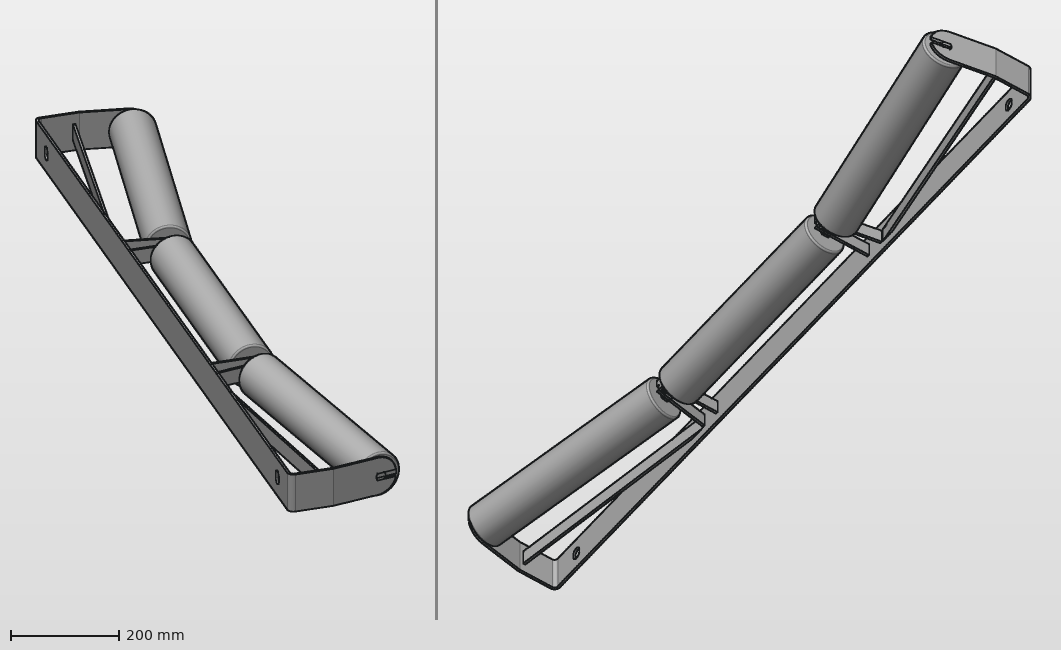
import cadquery as cq
import math

FRAME_LENGTH = 1510.0
STRIP_WIDTH = 77.0
PLATE = 5.0
CORNER_RADIUS = 12.0
BEND_HEIGHT = 86.0
PLATE_TOP = 216.0
TROUGH_ANGLE = 10.0
MOUNT_HOLE_X = 684.0
MOUNT_HOLE_WIDTH = 18.0
MOUNT_HOLE_HEIGHT = 27.0

ROLLER_DIAMETER = 89.0
ROLLER_LENGTH = 465.0
ROLLER_EDGE_FILLET = 3.8
SHAFT_DIAMETER = 20.0
SHAFT_FLAT_WIDTH = 14.0
END_GAP = 5.0
MIDDLE_AXIS_Y = 98.0
SIDE_OUTER_Y = 184.0
INNER_AXIS_Z = -8.0
OUTER_AXIS_Z = -2.0

BRACKET_TOP = 125.0
BRACKET_WIDTH = 30.0

STRUT_WIDTH = 33.0
STRUT_END_Y = 79.0
STRUT_TIP_X = 285.0

LEAN = math.radians(TROUGH_ANGLE)
HALF_FRAME = FRAME_LENGTH / 2
SHAFT_HALF = ROLLER_LENGTH / 2 + END_GAP + PLATE
LEAN_THICKNESS = PLATE / math.cos(LEAN)

SIDE_OUTER_X = HALF_FRAME - (SIDE_OUTER_Y - BEND_HEIGHT) * math.tan(LEAN)
SIDE_CENTRE_X = SIDE_OUTER_X - SHAFT_HALF * math.cos(LEAN)
SIDE_CENTRE_Y = SIDE_OUTER_Y - SHAFT_HALF * math.sin(LEAN)
SIDE_INNER_X = SIDE_CENTRE_X - SHAFT_HALF * math.cos(LEAN)
SIDE_INNER_Y = SIDE_CENTRE_Y - SHAFT_HALF * math.sin(LEAN)
SIDE_CENTRE_Z = (INNER_AXIS_Z + OUTER_AXIS_Z) / 2
SIDE_TILT = math.degrees(math.asin((OUTER_AXIS_Z - INNER_AXIS_Z) / (2 * SHAFT_HALF)))


def place_middle(shape):
    """Move a shape built along X at the origin to the middle roller axis."""
    return shape.translate((0, MIDDLE_AXIS_Y, INNER_AXIS_Z))


def place_right(shape):
    """Move a shape built along X at the origin to the right roller axis."""
    tilted = shape.rotate((0, 0, 0), (0, 1, 0), -SIDE_TILT)
    raised = tilted.rotate((0, 0, 0), (0, 0, 1), TROUGH_ANGLE)
    return raised.translate((SIDE_CENTRE_X, SIDE_CENTRE_Y, SIDE_CENTRE_Z))


def mirrored(shape):
    """The left-hand twin of a right-hand shape."""
    return shape.mirror("YZ")


def shaft():
    """Shaft along X, flattened above and below in Z."""
    rod = (
        cq.Workplane("YZ", origin=(-SHAFT_HALF, 0, 0))
        .circle(SHAFT_DIAMETER / 2)
        .extrude(2 * SHAFT_HALF)
    )
    flats = cq.Workplane("XY").box(2 * SHAFT_HALF, SHAFT_DIAMETER, SHAFT_FLAT_WIDTH)
    return rod.intersect(flats)


def roller():
    """Roller tube and shaft along X."""
    tube = (
        cq.Workplane("YZ", origin=(-ROLLER_LENGTH / 2, 0, 0))
        .circle(ROLLER_DIAMETER / 2)
        .extrude(ROLLER_LENGTH)
        .faces("<X or >X").edges().fillet(ROLLER_EDGE_FILLET)
    )
    return tube.union(shaft())


def shaft_slots():
    """Cutter for the open-topped slots that hold both ends of a shaft."""
    slot_height = ROLLER_DIAMETER
    opening = (
        cq.Workplane("XY")
        .box(2 * SHAFT_HALF, slot_height, SHAFT_FLAT_WIDTH)
        .translate((0, slot_height / 2, 0))
    )
    return shaft().union(opening)


def round_topped_outline():
    """Block along +X, as wide as the strip, its top rounded to a half circle."""
    radius = STRIP_WIDTH / 2
    arc_start = PLATE_TOP - radius
    return (
        cq.Workplane("YZ")
        .moveTo(0, -radius)
        .lineTo(arc_start, -radius)
        .threePointArc((PLATE_TOP, 0), (arc_start, radius))
        .lineTo(0, radius)
        .close()
        .extrude(HALF_FRAME)
    )


def round_corner(shape, x, y, radius):
    """Fillet the edge along Z nearest to (x, y)."""
    nearest = cq.selectors.NearestToPointSelector((x, y, 0))
    return shape.edges("|Z").edges(nearest).fillet(radius)


def build_frame():
    """Base strip with both end plates, mounting holes and shaft slots."""
    top_x = HALF_FRAME - (PLATE_TOP - BEND_HEIGHT) * math.tan(LEAN)
    bend_inside_y = BEND_HEIGHT - PLATE * math.tan(LEAN / 2)
    right_half = (
        cq.Workplane("XY")
        .moveTo(0, 0)
        .lineTo(HALF_FRAME, 0)
        .lineTo(HALF_FRAME, BEND_HEIGHT)
        .lineTo(top_x, PLATE_TOP)
        .lineTo(top_x - PLATE * math.cos(LEAN), PLATE_TOP - PLATE * math.sin(LEAN))
        .lineTo(HALF_FRAME - PLATE, bend_inside_y)
        .lineTo(HALF_FRAME - PLATE, PLATE)
        .lineTo(0, PLATE)
        .close()
        .extrude(STRIP_WIDTH / 2, both=True)
    )
    right_half = round_corner(right_half, HALF_FRAME, 0, CORNER_RADIUS)
    right_half = round_corner(right_half, HALF_FRAME - PLATE, PLATE, CORNER_RADIUS - PLATE)
    hole = (
        cq.Workplane("XZ", origin=(MOUNT_HOLE_X, 0, 0))
        .slot2D(MOUNT_HOLE_HEIGHT, MOUNT_HOLE_WIDTH, 90)
        .extrude(-PLATE)
    )
    right_half = right_half.intersect(round_topped_outline())
    right_half = right_half.cut(hole).cut(place_right(shaft_slots()))
    return right_half.union(mirrored(right_half))


def build_bracket():
    """Right-hand inverted channel: one upright leg, one leg parallel to the end plate."""

    def leaning_x(y):
        """X of the leaning leg's inside face at height y."""
        return SIDE_INNER_X - (y - SIDE_INNER_Y) * math.tan(LEAN)

    inner_top = BRACKET_TOP - PLATE
    bracket = (
        cq.Workplane("XY")
        .moveTo(SHAFT_HALF - PLATE, PLATE)
        .lineTo(SHAFT_HALF - PLATE, BRACKET_TOP)
        .lineTo(leaning_x(BRACKET_TOP) + LEAN_THICKNESS, BRACKET_TOP)
        .lineTo(leaning_x(PLATE) + LEAN_THICKNESS, PLATE)
        .lineTo(leaning_x(PLATE), PLATE)
        .lineTo(leaning_x(inner_top), inner_top)
        .lineTo(SHAFT_HALF, inner_top)
        .lineTo(SHAFT_HALF, PLATE)
        .close()
        .extrude(BRACKET_WIDTH / 2, both=True)
    )
    return bracket.cut(place_middle(shaft_slots())).cut(place_right(shaft_slots()))


def build_strut():
    """Right-hand flat bar from the base up to the end plate, its ends cut to fit both."""
    end_x = HALF_FRAME - PLATE
    slope = math.atan2(STRUT_END_Y - PLATE, end_x - STRUT_TIP_X)
    drop = PLATE / math.cos(slope)
    heel_x = STRUT_TIP_X + PLATE / math.sin(slope)
    return (
        cq.Workplane("XY")
        .moveTo(STRUT_TIP_X, PLATE)
        .lineTo(heel_x, PLATE)
        .lineTo(end_x, STRUT_END_Y - drop)
        .lineTo(end_x, STRUT_END_Y)
        .close()
        .extrude(STRUT_WIDTH / 2, both=True)
    )


frame = build_frame()
middle_roller = place_middle(roller())
bodies = [*frame.solids().vals(), *middle_roller.solids().vals()]

for right_hand in (place_right(roller()), build_bracket(), build_strut()):
    bodies.extend(right_hand.solids().vals())
    bodies.extend(mirrored(right_hand).solids().vals())

result = cq.Compound.makeCompound(bodies)